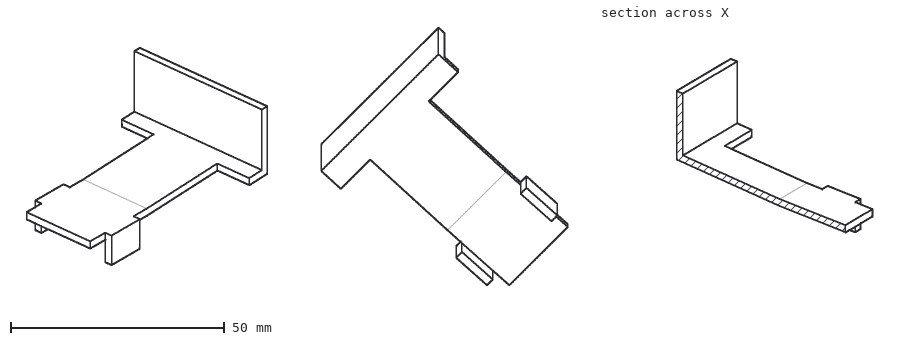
import cadquery as cq
import math

wall_width = 40.0
total_length = 51.2
total_height = 26.0
thickness = 2.0
arm_width = 19.95
flat_length = 19.95
slope_angle = 2.7
crossbar_depth = 6.45
tab_length = 10.0
tab_height = 8.1
tab_front_offset = 5.25

slope = math.tan(math.radians(slope_angle))
flat_top = tab_height
flat_bottom = flat_top - thickness
wall_front = total_length - thickness
bend_shift = thickness * math.tan(math.radians(slope_angle / 2))
bend_bottom = flat_length + bend_shift


def top_height(y):
    """Height of the sloped upper face at a given Y."""
    return flat_top + (y - flat_length) * slope


def bottom_height(y):
    """Height of the sloped lower face at a given Y."""
    return flat_bottom + (y - bend_bottom) * slope


def extrude_across(points, width):
    """Extrude a closed Y-Z outline symmetrically along X."""
    return cq.Workplane("YZ").polyline(points).close().extrude(width / 2, both=True)


arm = extrude_across(
    [
        (0, flat_bottom),
        (bend_bottom, flat_bottom),
        (total_length, bottom_height(total_length)),
        (total_length, top_height(total_length)),
        (flat_length, flat_top),
        (0, flat_top),
    ],
    arm_width,
)

bar_top_y = total_length - crossbar_depth
bar_bottom_y = bar_top_y + thickness * math.sin(math.radians(slope_angle))
wall = extrude_across(
    [
        (bar_bottom_y, bottom_height(bar_bottom_y)),
        (total_length, bottom_height(total_length)),
        (total_length, total_height),
        (wall_front, total_height),
        (wall_front, top_height(wall_front)),
        (bar_top_y, top_height(bar_top_y)),
    ],
    wall_width,
)

result = arm.union(wall)

for side in (-1, 1):
    tab = cq.Workplane("XY").box(thickness, tab_length, tab_height, centered=(True, False, False))
    tab_x = side * (arm_width + thickness) / 2
    result = result.union(tab.translate((tab_x, tab_front_offset, 0)))